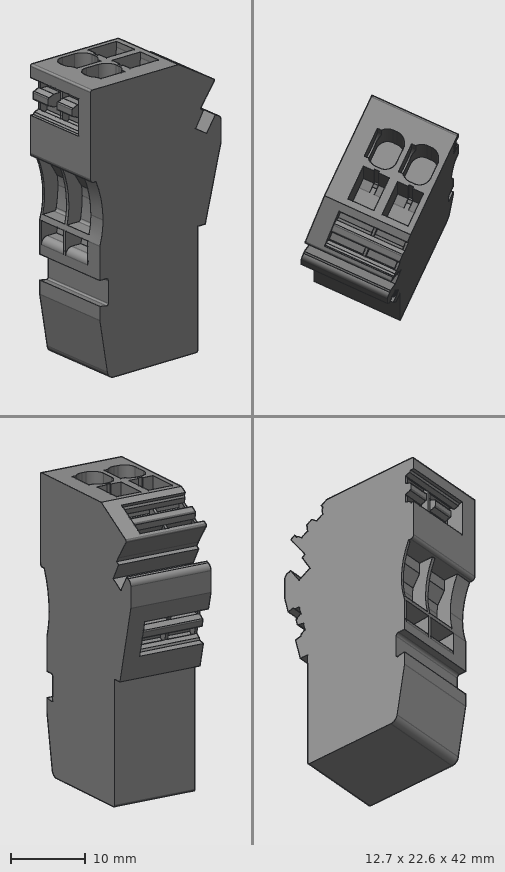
import cadquery as cq
import math

width = 12.7
depth = 22.55
height = 42.0
edge_radius = 0.3

pitch = 5.05
stations = [0, pitch]
bank_end = 2 * pitch
wall = 0.38

foot_back = 18.52
foot_height = 18.0
front_face = 1.6
groove_floor = 3.05
groove_top = 14.4
groove_bottom = 10.45
groove_lip = 10.7
groove_top_radius = 0.4
groove_bottom_radius = 0.25
toe_start = (4.0, 0.0)
toe_end = (2.9, 0.95)
toe_top = 8.7

recess_bottom = 19.3
recess_mid = (2.15, 22.95)
recess_top = (0.92, 28.73)
lip_radius = 0.5

chin_bottom = (19.82, foot_height)
chin_top = (depth, 29.15)
hook_side = 32.2
hook_crown = (21.8, 33.1)
hook_tip = (21.55, 33.25)
notch_inner = [(20.05, 30.95), (18.15, 32.1), (19.5, 34.4), (19.03, 34.75), (19.4, 35.35)]
shoulder_corner = (21.5, 38.3)
shoulder_top = (15.15, height)
shoulder_radius = 0.25

mouth_half = 2.7
step_half = 2.4
throat_half = 2.15
mouth_depth = 0.5
step_depth = 0.7
throat_depth = 1.43
cavity_depth = 2.55
cavity_half = 2.7
cavity_widest_depth = 2.1
cavity_end_half = 2.4
tongue_tip_depth = 0.45
tongue_tip_half = 0.6
tongue_tip_radius = 0.15
tongue_half = 0.92
tongue_length = 3.2
rib = 0.4
front_pocket_height = 37.4
shoulder_pocket_height = 40.05
chin_pocket_height = 24.02
chin_pocket_inset = 0.4

window_width = 4.6
window_offset = 5.12
upper_floor = 20.15
upper_floor_radius = 0.38
upper_wall_start = (4.15, 20.55)
upper_wall_mid = (4.45, 23.75)
upper_wall_end = (4.33, 25.15)
upper_ceiling_wall = 3.2
upper_ceiling_start = 27.0
lower_sill = 15.88
sill_radius = 1.05
lower_ramp_foot = 4.2
lower_ramp_head = (4.45, 17.95)
lower_ceiling_back = 19.1

port_depth = 8.4
tool_left = 0.8
tool_width = 3.82
tool_front = 9.32
tool_back = 14.25
tool_floor_front = 10.65
tool_floor_back = 13.3
tool_straight = 0.85
tool_ramp_rise = 0.35
slit_left = 2.4
slit_width = 0.67
slit_front = 9.07
slit_ramp_start = 9.32
slit_floor_front = 9.83
slit_ramp_rise = 0.15
wire_left = 0.8
wire_width = 4.0
wire_front = 3.2
wire_length = 5.45
wire_radius = 1.7
key_end = 5.1
key_front = 3.85
key_back = 8.02
key_straight = 2.5


def arc_middle(start, end, end_angle):
    """Middle point of the arc from start to end, given its travel direction at the end (degrees)."""
    chord_angle = math.atan2(end[1] - start[1], end[0] - start[0])
    half_angle = math.radians(end_angle) - chord_angle
    half_chord = math.dist(start, end) / 2
    sagitta = half_chord * math.tan(half_angle / 2)
    return (
        (start[0] + end[0]) / 2 + sagitta * math.sin(chord_angle),
        (start[1] + end[1]) / 2 - sagitta * math.cos(chord_angle),
    )


def side_plane(x):
    """Sketch plane with Y to the right and Z up, facing +X."""
    return cq.Workplane("YZ", origin=(x, 0, 0))


def make_body():
    recess_foot = (front_face, recess_bottom)
    rising = 90
    toe_middle = arc_middle(toe_end, toe_start, 0)
    hook_middle = arc_middle(hook_crown, (depth, hook_side), -rising)
    lower_middle = arc_middle(recess_foot, recess_mid, rising)
    upper_middle = arc_middle(recess_top, recess_mid, -rising)
    body = (
        side_plane(0)
        .moveTo(*toe_start)
        .threePointArc(toe_middle, toe_end)
        .lineTo(front_face, toe_top)
        .lineTo(front_face, groove_lip)
        .lineTo(groove_floor, groove_bottom)
        .lineTo(groove_floor, groove_top)
        .lineTo(front_face, groove_top)
        .lineTo(*recess_foot)
        .threePointArc(lower_middle, recess_mid)
        .threePointArc(upper_middle, recess_top)
        .lineTo(0, recess_top[1])
        .lineTo(0, height)
        .lineTo(*shoulder_top)
        .lineTo(*shoulder_corner)
        .polyline(notch_inner[::-1] + [hook_tip, hook_crown], includeCurrent=True)
        .threePointArc(hook_middle, (depth, hook_side))
        .lineTo(*chin_top)
        .lineTo(*chin_bottom)
        .lineTo(foot_back, foot_height)
        .lineTo(foot_back, 0)
        .close()
        .extrude(width)
    )

    def round_edge(solid, y, z, radius):
        nearest = cq.selectors.NearestToPointSelector((width / 2, y, z))
        return solid.edges("|X").edges(nearest).fillet(radius)

    body = round_edge(body, 0, height, edge_radius)
    body = round_edge(body, 0, recess_top[1], lip_radius)
    body = round_edge(body, foot_back, 0, edge_radius)
    body = round_edge(body, groove_floor, groove_top, groove_top_radius)
    body = round_edge(body, groove_floor, groove_bottom, groove_bottom_radius)
    return round_edge(body, *shoulder_corner, shoulder_radius)


def mirrored(half):
    """Close a half outline of (along, inward) points by its mirror image."""
    return half + [(-along, inward) for along, inward in reversed(half)]


def tongue(plane, length):
    """Round-nosed tongue standing in a marker pocket."""
    flat_half = tongue_tip_half - tongue_tip_radius
    nose_start = (tongue_tip_half, tongue_tip_depth + tongue_tip_radius)
    nose_end = (flat_half, tongue_tip_depth)
    nose_middle = arc_middle(nose_start, nose_end, -180)
    return (
        plane
        .moveTo(0, cavity_depth)
        .lineTo(tongue_half, cavity_depth)
        .lineTo(tongue_half, throat_depth)
        .lineTo(*nose_start)
        .threePointArc(nose_middle, nose_end)
        .lineTo(0, tongue_tip_depth)
        .mirrorY()
        .extrude(length)
    )


def marker_pocket(face_point, inward, tongues):
    """Keyed pocket open at X = 0; inward is the (Y, Z) direction into the block."""

    def plane(x):
        along = (0, inward[1], -inward[0])
        return cq.Workplane(cq.Plane((x, *face_point), along, (1, 0, 0)))

    mouth = mirrored([
        (mouth_half, -throat_depth),
        (mouth_half, mouth_depth),
        (step_half, step_depth),
        (throat_half, throat_depth),
    ])
    cavity = mirrored([
        (throat_half, throat_depth),
        (cavity_half, cavity_widest_depth),
        (cavity_end_half, cavity_depth),
    ])
    pocket = plane(0).polyline(mouth).close().extrude(bank_end)
    for start, end in [(wall, pitch - rib), (pitch, bank_end)]:
        pocket = pocket.union(plane(start).polyline(cavity).close().extrude(end - start))
    for start, length in tongues:
        pocket = pocket.cut(tongue(plane(start), length))
    return pocket


def face_frame(start, end, z, inset):
    """Point inset from a sloping back face at height z, and the inward direction.

    The face runs from start down to end.
    """
    length = math.dist(start, end)
    run = (end[0] - start[0]) / length
    rise = (end[1] - start[1]) / length
    y = start[0] + (z - start[1]) * run / rise
    return (y + inset * rise, z - inset * run), (rise, -run)


def upper_window(x):
    """Finger window with a hollow back wall, open through the front recess."""
    top = recess_top[1]
    floor_back = upper_wall_start[0] - upper_floor_radius
    corner_middle = arc_middle((floor_back, upper_floor), upper_wall_start, 90)
    wall_middle = arc_middle(upper_wall_start, upper_wall_mid, 90)
    crown_middle = arc_middle(upper_wall_end, upper_wall_mid, -90)
    return (
        side_plane(x)
        .moveTo(recess_top[0], upper_floor)
        .lineTo(floor_back, upper_floor)
        .threePointArc(corner_middle, upper_wall_start)
        .threePointArc(wall_middle, upper_wall_mid)
        .threePointArc(crown_middle, upper_wall_end)
        .lineTo(upper_ceiling_wall, upper_ceiling_start)
        .lineTo(upper_ceiling_wall, top)
        .lineTo(recess_top[0], top)
        .close()
        .extrude(window_width)
    )


def lower_window(x):
    """Window with a rounded sill and a ramp in front of its back wall."""
    sill_back = front_face + sill_radius
    sill_top = lower_sill + sill_radius
    sill_middle = arc_middle((front_face, lower_sill), (sill_back, sill_top), 0)
    return (
        side_plane(x)
        .moveTo(front_face, lower_sill)
        .threePointArc(sill_middle, (sill_back, sill_top))
        .lineTo(lower_ramp_foot, sill_top)
        .lineTo(*lower_ramp_head)
        .lineTo(lower_ramp_head[0], lower_ceiling_back)
        .lineTo(front_face, recess_bottom)
        .close()
        .extrude(window_width)
    )


def tool_port(x):
    """Rectangular opening with a tapered back wall, a ramp at its foot and a slit in its front wall."""
    floor = height - port_depth
    port = (
        side_plane(x + tool_left)
        .moveTo(tool_front, height)
        .lineTo(tool_front, floor + tool_ramp_rise)
        .lineTo(tool_floor_front, floor)
        .lineTo(tool_floor_back, floor)
        .lineTo(tool_back, height - tool_straight)
        .lineTo(tool_back, height)
        .close()
        .extrude(tool_width)
    )
    slit = (
        side_plane(x + slit_left)
        .moveTo(slit_front, height)
        .lineTo(slit_front, floor + slit_ramp_rise)
        .lineTo(slit_ramp_start, floor + slit_ramp_rise)
        .lineTo(slit_floor_front, floor)
        .lineTo(tool_floor_front, floor)
        .lineTo(tool_floor_front, height)
        .close()
        .extrude(slit_width)
    )
    return port.union(slit)


def wire_port(x):
    """Rounded opening with a round-bottomed key slot along its +X side."""
    port = (
        cq.Workplane("XY", origin=(x + wire_left, wire_front, height - port_depth))
        .rect(wire_width, wire_length, centered=False)
        .extrude(port_depth)
        .edges("|Z")
        .fillet(wire_radius)
    )
    key_start = wire_left + wire_width / 2
    key_radius = (key_back - key_front) / 2
    key_bottom = (key_front + key_radius, height - key_straight - key_radius)
    key = (
        side_plane(x + key_start)
        .moveTo(key_front, height)
        .lineTo(key_front, height - key_straight)
        .threePointArc(key_bottom, (key_back, height - key_straight))
        .lineTo(key_back, height)
        .close()
        .extrude(key_end - key_start)
    )
    return port.union(key)


short_tongues = [(x, tongue_length) for x in stations]
long_tongue = [(0, bank_end)]
shoulder_frame = face_frame(shoulder_top, shoulder_corner, shoulder_pocket_height, 0)
chin_frame = face_frame(chin_top, chin_bottom, chin_pocket_height, chin_pocket_inset)

result = make_body()
result = result.cut(marker_pocket((0, front_pocket_height), (1, 0), short_tongues))
result = result.cut(marker_pocket(*shoulder_frame, long_tongue))
result = result.cut(marker_pocket(*chin_frame, long_tongue))
for x in stations:
    result = result.cut(tool_port(x))
    result = result.cut(wire_port(x))
for x in [wall, wall + window_offset]:
    result = result.cut(upper_window(x))
    result = result.cut(lower_window(x))